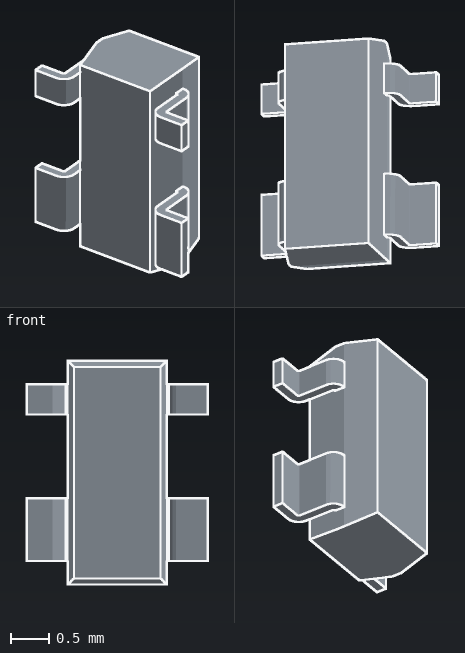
import cadquery as cq

body_length = 2.93
body_width = 1.298
band_thickness = 0.14
taper_height = 0.472
taper_inset = 0.082

lead_span = 2.37
overall_depth = 1.23
lead_thickness = 0.146
inner_bend_radius = 0.02
leg_gap = 0.03
lead_embed = 0.146
lead_end_margin = 0.308
narrow_lead_width = 0.398
wide_lead_width = 0.823

body_back = overall_depth
band_back = body_back - taper_height
band_front = band_back - band_thickness

leg_inner_x = body_width / 2 + leg_gap
leg_outer_x = leg_inner_x + lead_thickness
outer_bend_radius = inner_bend_radius + lead_thickness


def tapered_half(start_y, direction):
    """Half of the body, narrowing away from the band along +Y or -Y."""
    end_y = start_y + direction * taper_height
    return (
        cq.Workplane("XZ", origin=(0, start_y, 0))
        .rect(body_width, body_length)
        .workplane(offset=start_y - end_y)
        .rect(body_width - 2 * taper_inset, body_length - 2 * taper_inset)
        .loft(ruled=True)
    )


def make_body():
    band = cq.Workplane("XY").box(body_width, band_thickness, body_length)
    band = band.translate((0, (band_front + band_back) / 2, 0))
    return band.union(tapered_half(band_back, 1)).union(tapered_half(band_front, -1))


def make_lead(bottom_z, width):
    """Lead on the +X side: out of the band, down the leg, out along the foot."""
    root_x = body_width / 2 - lead_embed
    tip_x = lead_span / 2
    strip = (
        cq.Workplane("XY", origin=(0, 0, bottom_z))
        .moveTo(root_x, band_back)
        .lineTo(leg_outer_x, band_back)
        .lineTo(leg_outer_x, lead_thickness)
        .lineTo(tip_x, lead_thickness)
        .lineTo(tip_x, 0)
        .lineTo(leg_inner_x, 0)
        .lineTo(leg_inner_x, band_back - lead_thickness)
        .lineTo(root_x, band_back - lead_thickness)
        .close()
        .extrude(width)
    )

    def corner(x, y):
        return cq.selectors.NearestToPointSelector((x, y, bottom_z + width / 2))

    shoulder_inner = corner(leg_inner_x, band_back - lead_thickness)
    ankle_inner = corner(leg_outer_x, lead_thickness)
    shoulder_outer = corner(leg_outer_x, band_back)
    ankle_outer = corner(leg_inner_x, 0)
    strip = strip.edges(shoulder_inner + ankle_inner).fillet(inner_bend_radius)
    return strip.edges(shoulder_outer + ankle_outer).fillet(outer_bend_radius)


body_top = body_length / 2
leads = [
    (body_top - lead_end_margin - narrow_lead_width, narrow_lead_width),
    (-body_top + lead_end_margin, wide_lead_width),
]

result = make_body()
for bottom_z, width in leads:
    lead = make_lead(bottom_z, width)
    result = result.union(lead).union(lead.mirror("YZ"))